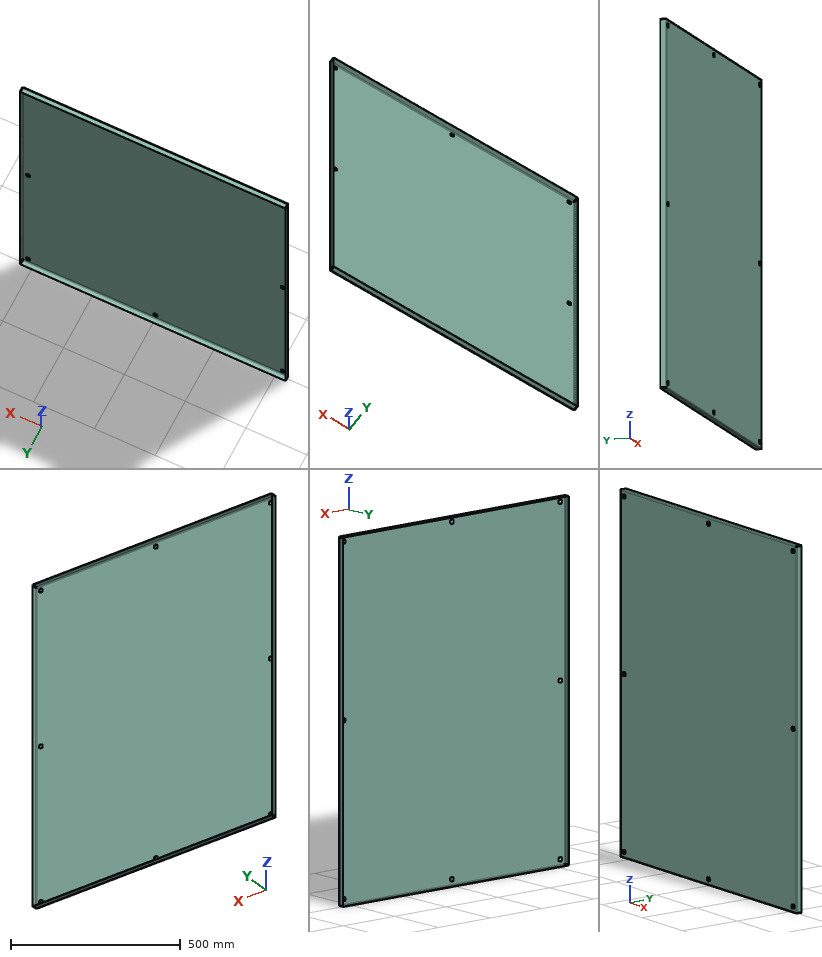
import cadquery as cq

width = 876.0
depth = 19.0
height = 1118.0

sheet = 2.3
bend_radius = 3.0
corner_relief = bend_radius

hole_diameter = 13.0
hole_inset = 19.0


def rounded_block(x_size, z_size, front, back, radius):
    """Block between two Y positions, with its front edges rounded."""
    block = cq.Workplane("XY").box(x_size, back - front, z_size)
    block = block.translate((0, (front + back) / 2, 0))
    return block.faces("<Y").edges().fillet(radius)


def folded_tray():
    """Front sheet with four flanges folded back, open at the rear."""
    front = -depth / 2
    back = depth / 2
    outside = rounded_block(width, height, front, back, bend_radius)
    inside = rounded_block(
        width - 2 * sheet,
        height - 2 * sheet,
        front + sheet,
        back + sheet,
        bend_radius - sheet,
    )
    return outside.cut(inside)


def corner_cuts():
    """Square reliefs that separate the flanges at the four corners."""
    return (
        cq.Workplane("XY")
        .rect(width - corner_relief, height - corner_relief, forConstruction=True)
        .vertices()
        .rect(corner_relief, corner_relief)
        .extrude(depth, both=True)
        .rotate((0, 0, 0), (1, 0, 0), 90)
    )


def mounting_holes():
    """Holes at the corners and at the middle of each side."""
    hole_x = width / 2 - hole_inset
    hole_z = height / 2 - hole_inset
    centres = [
        (column * hole_x, row * hole_z)
        for column in (-1, 0, 1)
        for row in (-1, 0, 1)
        if (column, row) != (0, 0)
    ]
    return cq.Workplane("XZ").pushPoints(centres).circle(hole_diameter / 2).extrude(depth, both=True)


result = folded_tray().cut(corner_cuts()).cut(mounting_holes())